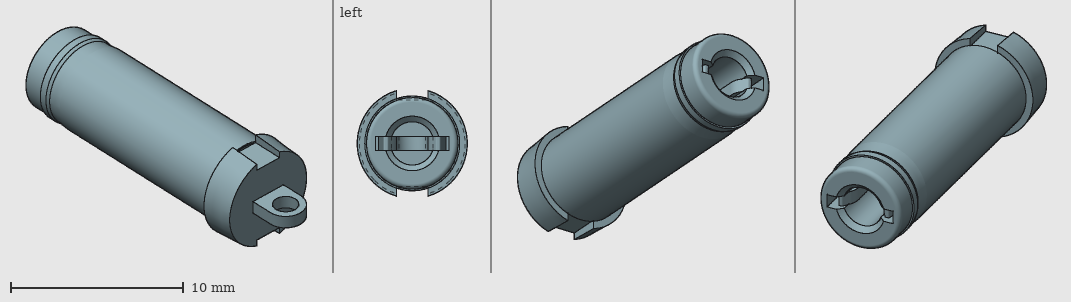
import cadquery as cq

total_length = 20.5
flange_diameter = 6.38

core_radius = 2.65
nose_fillet = 0.27
flange_start = 15.78
flange_end = 17.81
flange_front_radius = flange_diameter / 2
flange_rear_radius = 3.05
key_slot_width = 1.8
key_floor_height = 2.5

bore_radius = 1.25
bore_mouth_radius = 1.58
bore_depth = 9.22
cavity_half_width = 2.13

sleeve_radius = 2.75
sleeve_start = 1.5
groove_start = 1.97
groove_bottom = 2.2
groove_end = 3.15
groove_radius = 2.66

contact_thickness = 0.82
fork_half_width = 1.95
fork_tip = 0.47
tip_outer_half_width = 1.65
tip_inner_half_width = 1.4
tip_round = 0.1
taper_end = 2.45
lead_in_end = 1.2
fork_gap_radius = 0.9
fork_gap_end = 8.2
throat_round = 1.02
tab_half_width = 1.2
tab_hole_radius = 0.75


def revolve_about_x(points):
    """Revolve a closed (x, radius) outline about the X axis."""
    return cq.Workplane("XY").polyline(points).close().revolve(360, (0, 0, 0), (1, 0, 0))


def plate(x_start, x_end, half_width):
    """Flat block of contact thickness, centred on the axis."""
    block = cq.Workplane("XY").box(x_end - x_start, 2 * half_width, contact_thickness)
    return block.translate(((x_start + x_end) / 2, 0, 0))


def make_insulator():
    body = cq.Workplane("YZ").circle(core_radius).extrude(flange_end)
    body = body.faces("<X").edges().fillet(nose_fillet)
    flange = revolve_about_x([
        (flange_start, 0),
        (flange_start, flange_front_radius),
        (flange_end, flange_rear_radius),
        (flange_end, 0),
    ])
    body = body.union(flange)

    key_slot_depth = flange_front_radius - key_floor_height
    key_slot_center = (flange_front_radius + key_floor_height) / 2
    for side in (1, -1):
        key_slot = cq.Workplane("XY").box(flange_end - flange_start, key_slot_width, key_slot_depth)
        key_slot_x = (flange_start + flange_end) / 2
        body = body.cut(key_slot.translate((key_slot_x, 0, side * key_slot_center)))

    countersink_depth = bore_mouth_radius - bore_radius
    bore = revolve_about_x([
        (0, 0),
        (0, bore_mouth_radius),
        (countersink_depth, bore_radius),
        (bore_depth, bore_radius),
        (bore_depth, 0),
    ])
    cavity = plate(0, bore_depth, cavity_half_width)
    passage = plate(bore_depth, flange_end, tab_half_width)
    return body.cut(bore).cut(cavity).cut(passage)


def make_sleeve():
    return revolve_about_x([
        (sleeve_start, core_radius),
        (sleeve_start, sleeve_radius),
        (groove_start, sleeve_radius),
        (groove_bottom, groove_radius),
        (groove_end, sleeve_radius),
        (flange_start, sleeve_radius),
        (flange_start, core_radius),
    ])


def make_fork_gap():
    """Cutter between the prongs: lead-in, straight walls and a round end."""
    arc_start = fork_gap_end - fork_gap_radius
    return (
        cq.Workplane("XY")
        .workplane(offset=-contact_thickness / 2)
        .moveTo(fork_tip, -tip_inner_half_width)
        .lineTo(lead_in_end, -fork_gap_radius)
        .lineTo(arc_start, -fork_gap_radius)
        .threePointArc((fork_gap_end, 0), (arc_start, fork_gap_radius))
        .lineTo(lead_in_end, fork_gap_radius)
        .lineTo(fork_tip, tip_inner_half_width)
        .close()
        .extrude(contact_thickness)
    )


def make_contact():
    fork = (
        cq.Workplane("XY")
        .workplane(offset=-contact_thickness / 2)
        .polyline([
            (fork_tip, -tip_outer_half_width),
            (taper_end, -fork_half_width),
            (bore_depth, -fork_half_width),
            (bore_depth, fork_half_width),
            (taper_end, fork_half_width),
            (fork_tip, tip_outer_half_width),
        ])
        .close()
        .extrude(contact_thickness)
        .cut(make_fork_gap())
    )

    fork = fork.faces("<X").edges("|Z").fillet(tip_round)
    for side in (1, -1):
        throat = cq.selectors.NearestToPointSelector((lead_in_end, side * fork_gap_radius, 0))
        fork = fork.edges("|Z").edges(throat).fillet(throat_round)

    eye_center = total_length - tab_half_width
    tab = plate(bore_depth, eye_center, tab_half_width)
    eye = cq.Workplane("XY").circle(tab_half_width).extrude(contact_thickness / 2, both=True)
    hole = cq.Workplane("XY").circle(tab_hole_radius).extrude(contact_thickness / 2, both=True)
    eye = eye.translate((eye_center, 0, 0))
    hole = hole.translate((eye_center, 0, 0))
    return fork.union(tab).union(eye).cut(hole)


insulator = make_insulator()
sleeve = make_sleeve()
contact = make_contact()

result = cq.Compound.makeCompound([insulator.val(), sleeve.val(), contact.val()])